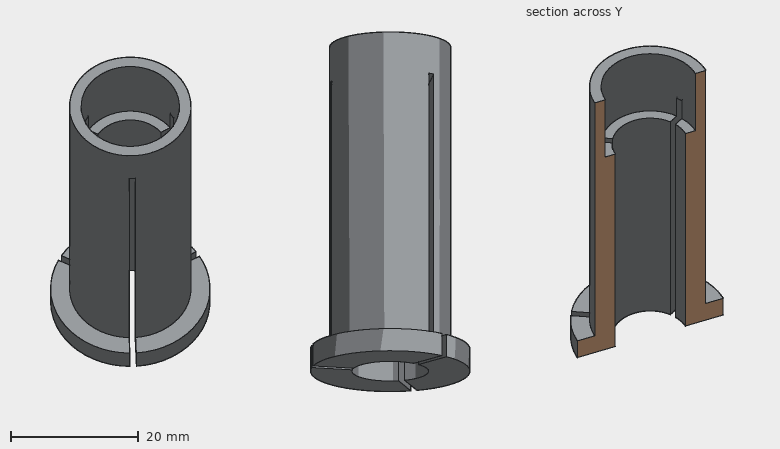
import cadquery as cq
import math

total_height = 52.5
flange_diameter = 25.0
flange_thickness = 3.6
tube_diameter = 19.05

upper_bore_diameter = 15.4
lower_bore_diameter = 12.0
bore_step_height = 40.5

slot_count = 3
slot_width = 1.0
first_slot_angle = 90.0
slot_outer_top = 46.4
slot_end_slope = 50.0


def cylinder(diameter, bottom, top):
    """Vertical cylinder on the part axis between two heights."""
    base = cq.Workplane("XY").workplane(offset=bottom)
    return base.circle(diameter / 2).extrude(top - bottom)


def make_sleeve():
    """Flanged tube with the stepped bore through it."""
    flange = cylinder(flange_diameter, 0, flange_thickness)
    tube = cylinder(tube_diameter, 0, total_height)
    lower_bore = cylinder(lower_bore_diameter, 0, total_height)
    upper_bore = cylinder(upper_bore_diameter, bore_step_height, total_height)
    return flange.union(tube).cut(lower_bore).cut(upper_bore)


def make_slot(angle):
    """Radial slot cutter, open at the flange face, with an end that slopes down toward the axis."""
    flange_radius = flange_diameter / 2
    tube_radius = tube_diameter / 2
    slot_axis_top = slot_outer_top - tube_radius * math.tan(math.radians(slot_end_slope))
    profile = [
        (0, 0),
        (flange_radius, 0),
        (flange_radius, slot_outer_top),
        (tube_radius, slot_outer_top),
        (0, slot_axis_top),
    ]
    cutter = cq.Workplane("XZ").polyline(profile).close().extrude(slot_width / 2, both=True)
    return cutter.rotate((0, 0, 0), (0, 0, 1), angle)


result = make_sleeve()
for index in range(slot_count):
    result = result.cut(make_slot(first_slot_angle + index * 360 / slot_count))